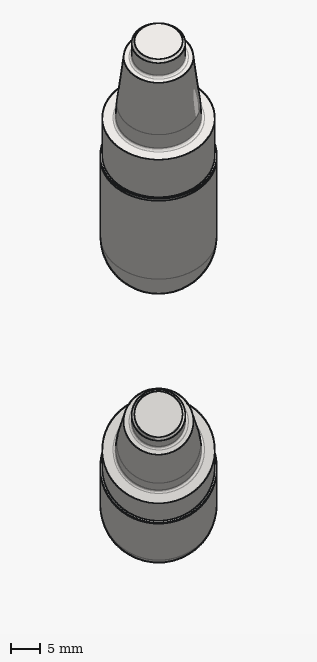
import cadquery as cq
import math

total_height = 59.7

housing_radius = 20.0 / 2
housing_top = 29.95

flange_top = 30.5
collar_radius = 19.3 / 2
collar_top = 40.1
neck_radius = 7.35
neck_fillet = 0.5
taper_start = 43.8
taper_top = 55.7
taper_top_radius = 5.95
button_radius = 9.2 / 2
button_fillet = 0.5
button_chamfer = 0.5


def make_housing():
    """Cylinder with a hemispherical lower end and a flat top."""
    arc_offset = housing_radius * math.sqrt(0.5)
    return (
        cq.Workplane("XZ")
        .moveTo(0, 0)
        .threePointArc((arc_offset, housing_radius - arc_offset), (housing_radius, housing_radius))
        .lineTo(housing_radius, housing_top)
        .lineTo(0, housing_top)
        .close()
        .revolve(360, (0, 0, 0), (0, 1, 0))
    )


def make_plug():
    """Stepped plug whose neck rises vertically, then curves smoothly into a taper."""
    neck_base = collar_top + neck_fillet
    arc_height = taper_start - neck_base
    taper_height = taper_top - taper_start
    taper_slope = (neck_radius - taper_top_radius) / (taper_height + arc_height / 2)
    taper_start_radius = taper_top_radius + taper_slope * taper_height

    return (
        cq.Workplane("XZ")
        .moveTo(0, housing_top)
        .lineTo(housing_radius, housing_top)
        .lineTo(housing_radius, flange_top)
        .lineTo(collar_radius, flange_top)
        .lineTo(collar_radius, collar_top)
        .lineTo(neck_radius + neck_fillet, collar_top)
        .radiusArc((neck_radius, neck_base), neck_fillet)
        .tangentArcPoint((taper_start_radius, taper_start), relative=False)
        .lineTo(taper_top_radius, taper_top)
        .lineTo(button_radius + button_fillet, taper_top)
        .radiusArc((button_radius, taper_top + button_fillet), button_fillet)
        .lineTo(button_radius, total_height - button_chamfer)
        .lineTo(button_radius - button_chamfer, total_height)
        .lineTo(0, total_height)
        .close()
        .revolve(360, (0, 0, 0), (0, 1, 0))
    )


housing = make_housing()
plug = make_plug()
result = cq.Compound.makeCompound([housing.val(), plug.val()])